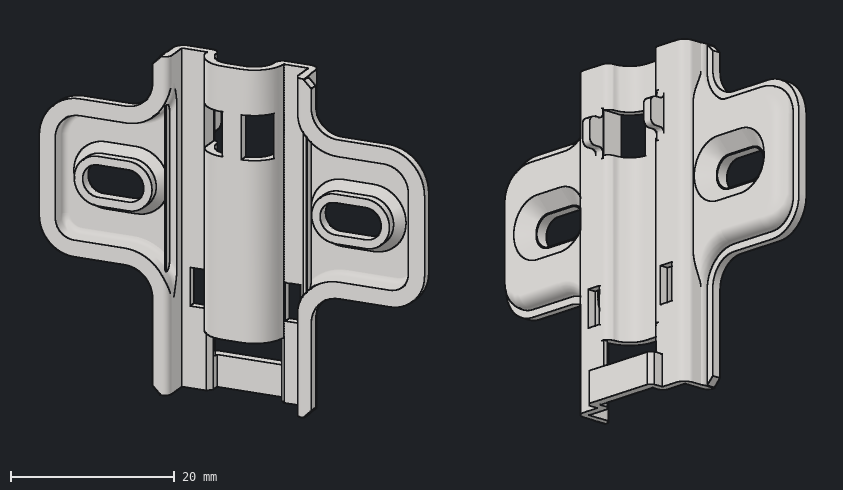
import cadquery as cq
import math


length = 44.0
half_width = 26.0
flange_half_width = 10.7
wing_bottom = 16.15
wing_top = 36.8
top_corner_radius = 5.5
bottom_corner_radius = 4.7
top_neck_radius = 3.6
bottom_neck_radius = 3.75
flange_thickness = 1.25
end_chamfer = 1.1
overhang = 5.2

wing_back = 3.55
wing_inset = 1.0
wing_edge_round = 2.0
pocket_inset = 2.2
pocket_depth = 2.35
pocket_floor_fillet = 0.85

rail_half_width = 9.6
rail_back = 5.05
rail_thickness = 1.2
rail_edge_round = 1.4
channel_half_width = flange_half_width - pocket_inset
channel_depth = rail_back - rail_thickness
mouth_round = 0.95
web_half_width = channel_half_width + mouth_round

trough_flat = 1.2
trough_thickness = 1.25
trough_outer_radius = 4.0
trough_inner_radius = 2.7
trough_half_width = trough_flat + trough_outer_radius
trough_bottom = 8.5

boss_x = 16.0
boss_z = (wing_bottom + wing_top) / 2
slot_travel = 4.05
slot_radius = 2.1
boss_radius = 3.2
boss_base_radius = 4.35
boss_wall = 1.6
recess_radius = 4.15

upper_window = (1.3, 4.7, 32.25, 38.05)
lower_window = (5.4, 7.45, 10.65, 15.65)

ear_inner = 4.8
ear_thickness = 1.25
ear_back = 7.3
ear_bottom = 33.25
ear_top = 36.95
ear_tip_round = 0.9
ear_root_fillet = 0.7
select_margin = 0.05
bridge_half_gap = 4.65
bridge_leg = 1.15
bridge_back = 7.0
bridge_front = 5.6
bridge_height = 4.2
bridge_chamfer = 0.6


def box(x0, x1, y0, y1, z0, z1):
    return cq.Workplane("XY").box(x1 - x0, y1 - y0, z1 - z0, centered=False).translate((x0, y0, z0))


def both_sides(solid):
    """The solid together with its mirror image across X = 0."""
    return solid.union(solid.mirror("YZ"))


def plate(inset, depth, extra=0.0):
    """Cross-shaped plate from Y = 0 to depth, its outline moved inward by inset and its ends out by extra."""
    neck = flange_half_width - inset
    tip = half_width - inset
    low = wing_bottom + inset
    high = wing_top - inset
    low_neck = bottom_neck_radius + inset
    high_neck = top_neck_radius + inset
    low_corner = bottom_corner_radius - inset
    high_corner = top_corner_radius - inset

    def on_arc(center_x, center_z, radius, side_x, side_z):
        step = radius * math.sqrt(0.5)
        return (center_x + side_x * step, center_z + side_z * step)

    low_neck_mid = on_arc(neck + low_neck, low - low_neck, low_neck, -1, 1)
    low_corner_mid = on_arc(tip - low_corner, low + low_corner, low_corner, 1, -1)
    high_corner_mid = on_arc(tip - high_corner, high - high_corner, high_corner, 1, 1)
    high_neck_mid = on_arc(neck + high_neck, high + high_neck, high_neck, -1, -1)
    return (
        cq.Workplane("XZ")
        .moveTo(0, -extra)
        .lineTo(neck, -extra)
        .lineTo(neck, low - low_neck)
        .threePointArc(low_neck_mid, (neck + low_neck, low))
        .lineTo(tip - low_corner, low)
        .threePointArc(low_corner_mid, (tip, low + low_corner))
        .lineTo(tip, high - high_corner)
        .threePointArc(high_corner_mid, (tip - high_corner, high))
        .lineTo(neck + high_neck, high)
        .threePointArc(high_neck_mid, (neck, high + high_neck))
        .lineTo(neck, length + extra)
        .lineTo(0, length + extra)
        .mirrorY()
        .extrude(-depth)
    )


def make_shell():
    """Flange, raised wings and rail, hollowed from the front."""
    flange = plate(0, flange_thickness).edges("|Y").edges("<Z or >Z").chamfer(end_chamfer)
    raised = plate(wing_inset, wing_back, overhang).faces(">Y").edges().fillet(wing_edge_round)
    raised = raised.intersect(box(-half_width, half_width, 0, wing_back, 0, length))
    rail = box(-rail_half_width, rail_half_width, 0, rail_back, 0, length)
    rail = rail.faces(">Y").edges("|Z").fillet(rail_edge_round)

    pocket = plate(pocket_inset, pocket_depth, overhang).faces(">Y").edges().fillet(pocket_floor_fillet)
    web = both_sides(box(web_half_width, rail_half_width, flange_thickness, pocket_depth, 0, length))
    channel = box(-channel_half_width, channel_half_width, 0, channel_depth, 0, length)
    return flange.union(raised).union(rail).cut(pocket.cut(web)).cut(channel).cut(make_mouth_round())


def make_mouth_round():
    """Waste that rounds the front edges of the channel."""
    corner = box(channel_half_width, web_half_width, 0, mouth_round, 0, length)
    keep = cq.Workplane("XY").center(web_half_width, mouth_round).circle(mouth_round).extrude(length)
    return both_sides(corner.cut(keep))


def make_trough():
    """Half-round trough joined to the rail by a rolled shoulder on each side."""
    inner_half_width = trough_flat + trough_inner_radius
    inner_center = trough_thickness + trough_inner_radius
    shoulder_radius = rail_back - inner_center
    return (
        cq.Workplane("XY", origin=(0, 0, trough_bottom))
        .lineTo(trough_flat, 0)
        .radiusArc((trough_half_width, trough_outer_radius), -trough_outer_radius)
        .lineTo(trough_half_width, rail_back)
        .lineTo(inner_half_width + shoulder_radius, rail_back)
        .radiusArc((inner_half_width, inner_center), -shoulder_radius)
        .radiusArc((trough_flat, trough_thickness), trough_inner_radius)
        .lineTo(0, trough_thickness)
        .mirrorY()
        .extrude(length - trough_bottom)
    )


def make_bridge():
    """U-shaped bridge across the bottom end, bent back from the rail."""
    outer = bridge_half_gap + bridge_leg
    bridge = box(-outer, outer, channel_depth, bridge_back, 0, bridge_height)
    bridge = bridge.faces(">Y").edges("|Z").chamfer(bridge_chamfer)
    gap = box(-bridge_half_gap, bridge_half_gap, 0, bridge_front, 0, bridge_height)
    return bridge.cut(gap)


def make_bend_chamfer():
    """Waste that bevels the front edges of the rail beside the open bottom end."""
    bevel = (
        cq.Workplane("XY")
        .moveTo(bridge_half_gap, channel_depth)
        .lineTo(bridge_half_gap + bridge_chamfer, channel_depth)
        .lineTo(bridge_half_gap, channel_depth + bridge_chamfer)
        .close()
        .extrude(trough_bottom)
    )
    return both_sides(bevel)


def make_ear():
    """Tab standing on the back of the rail with a rounded tip and flared root."""
    root = rail_back - ear_root_fillet
    outer = ear_inner + ear_thickness
    base_bottom = ear_bottom - 2 * ear_root_fillet
    base_top = ear_top + 2 * ear_root_fillet
    base = box(ear_inner, outer, root, rail_back, base_bottom, base_top)
    tab = box(ear_inner, outer, root, ear_back, ear_bottom, ear_top)
    tab = tab.faces(">Y").edges("|X").fillet(ear_tip_round)
    root_corners = cq.selectors.BoxSelector(
        (ear_inner, rail_back - select_margin, ear_bottom - select_margin),
        (outer, rail_back + select_margin, ear_top + select_margin),
    )
    return base.union(tab).edges("|X").edges(root_corners).fillet(ear_root_fillet)


def slot(radius, y):
    """Sketch of a horizontal slot at the boss centre in the plane at the given Y."""
    return cq.Workplane("XZ", origin=(boss_x, y, boss_z)).slot2D(slot_travel + 2 * radius, 2 * radius)


def make_boss():
    """Boss rising from the pocket floor to the front plane, coned at its foot."""
    cone_height = boss_base_radius - boss_radius
    foot = slot(boss_base_radius, pocket_depth).extrude(cone_height, taper=45)
    return foot.union(slot(boss_radius, pocket_depth).extrude(pocket_depth))


def make_boss_waste():
    """Through slot of a boss with the conical recess behind it."""
    hole = slot(slot_radius, wing_back).extrude(wing_back)
    return hole.union(slot(recess_radius, wing_back).extrude(wing_back - boss_wall, taper=45))


def make_windows():
    """Waste of the rectangular windows on both sides."""
    waste = cq.Workplane("XY")
    for x0, x1, z0, z1 in (upper_window, lower_window):
        waste = waste.union(both_sides(box(x0, x1, 0, rail_back, z0, z1)))
    return waste


result = make_shell()
result = result.cut(box(-trough_half_width, trough_half_width, 0, rail_back, trough_bottom, length))
result = result.cut(box(-bridge_half_gap, bridge_half_gap, 0, rail_back, 0, trough_bottom))
result = result.union(make_trough())
result = result.union(make_bridge()).cut(make_bend_chamfer())
result = result.union(both_sides(make_boss())).cut(both_sides(make_boss_waste()))
result = result.cut(make_windows()).union(both_sides(make_ear()))